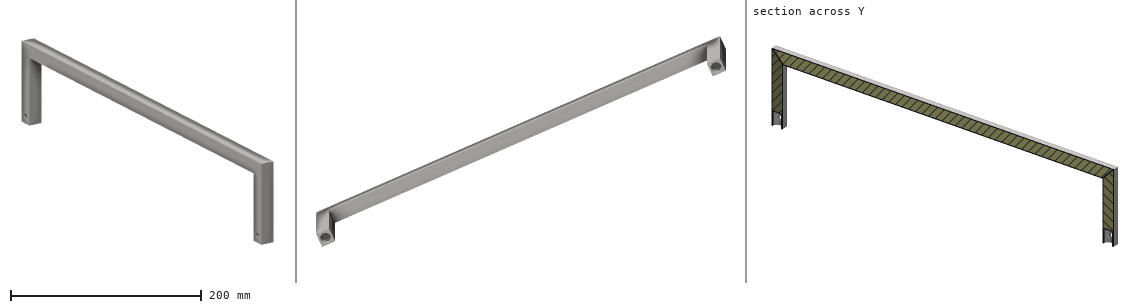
import cadquery as cq

overall_length = 465.0
overall_height = 90.0
bar_size = 15.0

bore_diameter = 11.0

screw_hole_diameter = 5.0
screw_hole_height = 8.5
bore_depth = 2 * screw_hole_height

half_length = overall_length / 2
half_inner_length = half_length - bar_size
inner_height = overall_height - bar_size
leg_center_x = half_length - bar_size / 2


def extrude_profile(points):
    """Extrude an XZ outline through the bar section, centred on Y = 0."""
    return cq.Workplane("XZ").polyline(points).close().extrude(bar_size / 2, both=True)


def make_grip():
    """Horizontal bar, mitred at 45 degrees at both ends."""
    return extrude_profile([
        (-half_length, overall_height),
        (half_length, overall_height),
        (half_inner_length, inner_height),
        (-half_inner_length, inner_height),
    ])


def make_mounting_bore(side):
    """Cutter for the vertical bore on the axis of the leg."""
    return cq.Workplane("XY").center(side * leg_center_x, 0).circle(bore_diameter / 2).extrude(bore_depth)


def make_screw_hole(side):
    """Cutter for the hole from the -Y face to the axis of the bore."""
    return (
        cq.Workplane("XZ")
        .center(side * leg_center_x, screw_hole_height)
        .circle(screw_hole_diameter / 2)
        .extrude(bar_size / 2)
    )


def make_leg(side):
    """Vertical leg, mitred at the top; side is -1 for the -X end and 1 for the +X end."""
    leg = extrude_profile([
        (side * half_length, 0),
        (side * half_length, overall_height),
        (side * half_inner_length, inner_height),
        (side * half_inner_length, 0),
    ])
    return leg.cut(make_mounting_bore(side)).cut(make_screw_hole(side))


grip = make_grip()
legs = [make_leg(side) for side in (-1, 1)]

result = cq.Compound.makeCompound([grip.val(), *[leg.val() for leg in legs]])